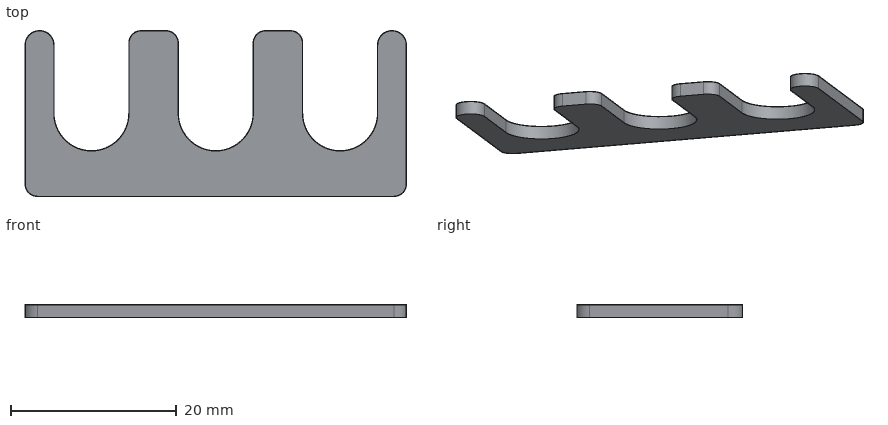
import cadquery as cq

length = 46.0
depth = 20.0
thickness = 1.55
base_corner_radius = 1.5

slot_count = 3
slot_pitch = 15.0
slot_width = 9.0
slot_radius = slot_width / 2
base_web = 5.5
slot_center_y = base_web + slot_radius

inner_tip_radius = 1.5
outer_tine_width = (length - (slot_count - 1) * slot_pitch - slot_width) / 2
outer_tip_radius = outer_tine_width / 2
outer_tip_center_y = depth - outer_tip_radius


def base_plate():
    """Rectangular plate with rounded front corners."""
    plate = cq.Workplane("XY").box(length, depth, thickness, centered=(True, False, False))
    return plate.edges("|Z and <Y").fillet(base_corner_radius)


def slot(center_x):
    """Slot with a round floor, open at the back edge."""
    floor = cq.Workplane("XY").center(center_x, slot_center_y).circle(slot_radius).extrude(thickness)
    channel = cq.Workplane("XY").center(center_x, slot_center_y).box(
        slot_width, depth - slot_center_y, thickness, centered=(True, False, False)
    )
    return floor.union(channel)


def round_outer_tip(plate, side):
    """Replace the square end of an outer tine with a full half-round."""
    center_x = side * (length / 2 - outer_tip_radius)
    tip_center = cq.Workplane("XY").center(center_x, outer_tip_center_y)
    square_end = tip_center.box(
        outer_tine_width, outer_tip_radius, thickness, centered=(True, False, False)
    )
    round_end = tip_center.circle(outer_tip_radius).extrude(thickness)
    return plate.cut(square_end).union(round_end)


plate = base_plate()
for index in range(slot_count):
    plate = plate.cut(slot((index - (slot_count - 1) / 2) * slot_pitch))

inner_half_span = (slot_count - 1) * slot_pitch / 2
inner_tips = cq.selectors.BoxSelector(
    (-inner_half_span, outer_tip_center_y, -thickness),
    (inner_half_span, depth + thickness, 2 * thickness),
)
plate = plate.edges("|Z").edges(inner_tips).fillet(inner_tip_radius)

for side in (-1, 1):
    plate = round_outer_tip(plate, side)

result = plate